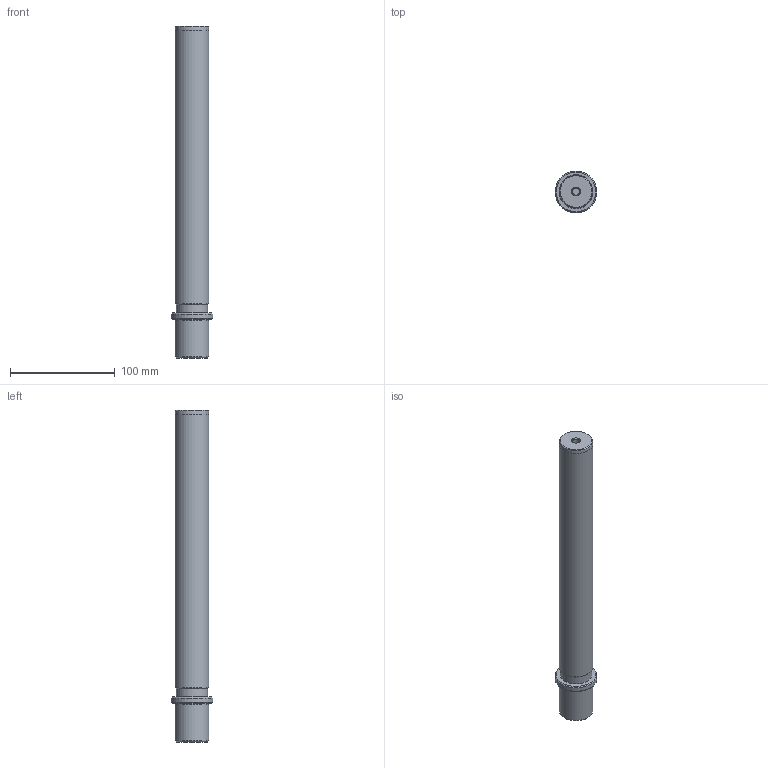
import cadquery as cq

total_height = 317.0
collar_bottom = 37.0
collar_thickness = 6.0
neck_height = 9.0
undercut_height = 1.0

post_diameter = 32.0
collar_diameter = 40.0
undercut_diameter = 31.4

bottom_chamfer = 1.0
shaft_chamfer = 1.0
collar_chamfer = 1.0

lead_in_height = 4.0
lead_in_inset = 0.3
tip_chamfer = 0.6

hole_diameter = 6.8
hole_depth = 20.0
countersink_diameter = 8.5
countersink_angle = 90.0

post_radius = post_diameter / 2
neck_radius = post_radius - shaft_chamfer
collar_radius = collar_diameter / 2
undercut_radius = undercut_diameter / 2
undercut_bottom = collar_bottom - undercut_height
collar_top = collar_bottom + collar_thickness
neck_top = collar_top + neck_height
lead_in_bottom = total_height - lead_in_height


def cylinder(radius, bottom, top):
    """Cylinder on the Z axis between two heights."""
    return cq.Workplane("XY").workplane(offset=bottom).circle(radius).extrude(top - bottom)


def make_base():
    """Lower spigot with a chamfered foot and a shallow undercut below the collar."""
    spigot = cylinder(post_radius, 0, undercut_bottom).faces("<Z").chamfer(bottom_chamfer)
    undercut = cylinder(undercut_radius, undercut_bottom, collar_bottom)
    return spigot.union(undercut)


def make_collar():
    """Flange with both rims chamfered."""
    return cylinder(collar_radius, collar_bottom, collar_top).edges().chamfer(collar_chamfer)


def make_shaft():
    """Long guide shaft: chamfered lower edge, crowned lead-in and chamfered tip."""
    profile = (
        cq.Workplane("XZ")
        .moveTo(0, neck_top - shaft_chamfer)
        .lineTo(neck_radius, neck_top - shaft_chamfer)
        .lineTo(post_radius, neck_top)
        .lineTo(post_radius, lead_in_bottom)
        .tangentArcPoint((post_radius - lead_in_inset, total_height), relative=False)
        .lineTo(0, total_height)
        .close()
    )
    shaft = profile.revolve(360, (0, 0, 0), (0, 1, 0))
    return shaft.faces(">Z").chamfer(tip_chamfer)


def drill_tip(part):
    """Countersunk blind hole on the axis of the top face."""
    tip = part.faces(">Z").workplane()
    return tip.cskHole(hole_diameter, countersink_diameter, countersink_angle, hole_depth)


neck = cylinder(neck_radius, collar_top, neck_top)
pillar = make_base().union(make_collar()).union(neck).union(make_shaft())
result = drill_tip(pillar)